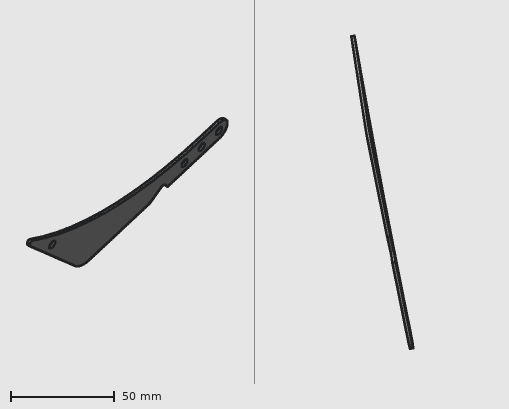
import cadquery as cq
import math

thickness = 1.6
length = 145.7
height = 59.5

handle_width = 12.7
end_radius = handle_width / 2
hole_diameter = 4.4
hole_pitch = handle_width
handle_hole_count = 3

tip_radius = 1.6
heel_corner = 108.3
heel_radius = 12.7
arc_start = end_radius + hole_pitch
tip_hole_along = 128.8
tip_hole_height = 40.8
tip_hole_diameter = 4.4

notch_start = 44.2
notch_width = 13.0
notch_steep_angle = math.radians(62)
notch_radius = 1.9


def plate_point(along, up):
    """Sketch point from the distance to the handle end and the height above the bottom."""
    return (length / 2 - along, up)


def point_on_circle(center, radius, angle):
    return (center[0] + radius * math.cos(angle), center[1] + radius * math.sin(angle))


tip_center = (length - tip_radius, height - tip_radius)

tip_run = tip_center[0] - arc_start
tip_rise = tip_center[1] - handle_width
arc_radius = (tip_run**2 + tip_rise**2 - tip_radius**2) / (2 * (tip_rise + tip_radius))
arc_center = (arc_start, handle_width + arc_radius)
arc_end_angle = math.atan2(tip_center[1] - arc_center[1], tip_run)
arc_mid_angle = (arc_end_angle - math.pi / 2) / 2
arc_end = point_on_circle(arc_center, arc_radius, arc_end_angle)
arc_middle = point_on_circle(arc_center, arc_radius, arc_mid_angle)

corner_run = tip_center[0] - heel_corner
corner_distance = math.hypot(corner_run, tip_center[1])
back_angle = math.atan2(tip_center[1], corner_run) - math.asin(tip_radius / corner_distance)
back_end = point_on_circle(tip_center, tip_radius, back_angle - math.pi / 2)
tip_middle_angle = (arc_end_angle + math.pi + back_angle - math.pi / 2) / 2
tip_middle = point_on_circle(tip_center, tip_radius, tip_middle_angle)

heel_tangent = heel_radius * math.tan(back_angle / 2)
heel_start = heel_corner - heel_tangent
heel_center = (heel_start, heel_radius)
heel_end = point_on_circle((heel_corner, 0), heel_tangent, back_angle)
heel_middle = point_on_circle(heel_center, heel_radius, (back_angle - math.pi) / 2)


def make_plate():
    outline = (
        cq.Workplane("YZ")
        .moveTo(*plate_point(end_radius, 0))
        .threePointArc(plate_point(0, end_radius), plate_point(end_radius, handle_width))
        .lineTo(*plate_point(arc_start, handle_width))
        .threePointArc(plate_point(*arc_middle), plate_point(*arc_end))
        .threePointArc(plate_point(*tip_middle), plate_point(*back_end))
        .lineTo(*plate_point(*heel_end))
        .threePointArc(plate_point(*heel_middle), plate_point(heel_start, 0))
        .close()
    )
    return outline.extrude(thickness / 2, both=True)


def make_notch():
    steep_side = notch_width * math.cos(notch_steep_angle)
    apex = point_on_circle((notch_start, 0), steep_side, notch_steep_angle)
    corners = [
        plate_point(notch_start, 0),
        plate_point(*apex),
        plate_point(notch_start + notch_width, 0),
    ]
    triangle = cq.Workplane("YZ").polyline(corners).close().extrude(thickness / 2, both=True)
    return triangle.edges("|X").edges(">Z").fillet(notch_radius)


def make_holes(centers, diameter):
    return cq.Workplane("YZ").pushPoints(centers).circle(diameter / 2).extrude(thickness / 2, both=True)


handle_holes = [
    plate_point(end_radius + i * hole_pitch, end_radius) for i in range(handle_hole_count)
]
tip_hole = [plate_point(tip_hole_along, tip_hole_height)]

result = (
    make_plate()
    .cut(make_notch())
    .cut(make_holes(handle_holes, hole_diameter))
    .cut(make_holes(tip_hole, tip_hole_diameter))
)